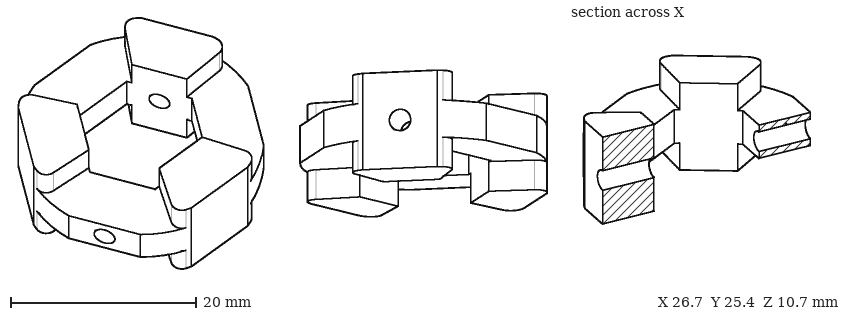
import cadquery as cq
import math

outer_radius = 13.34
outer_flats = 25.4
bore_flats = 12.8
total_height = 10.67
web_height = 4.1
block_inner_half_width = 3.12
block_side_angle = 26.7
block_corner_radius = 1.2
hole_diameter = 2.35
block_angles = (90, 210, 330)


def hexagon(across_flats, height):
    """Hexagonal prism centred on the origin, with corners on the X axis."""
    across_corners = across_flats / math.cos(math.radians(30))
    return cq.Workplane("XY").polygon(6, across_corners).extrude(height / 2, both=True)


def ring_outline(height):
    """Disc whose rim is trimmed by six flats."""
    disc = cq.Workplane("XY").circle(outer_radius).extrude(height / 2, both=True)
    return disc.intersect(hexagon(outer_flats, height))


def block():
    """Full-height wedge block on the +Y side, with rounded outer corners."""
    inner_y = bore_flats / 2
    outer_y = outer_radius
    outer_half_width = block_inner_half_width + (outer_y - inner_y) * math.tan(
        math.radians(block_side_angle)
    )
    wedge = (
        cq.Workplane("XY")
        .polyline([
            (-block_inner_half_width, inner_y),
            (block_inner_half_width, inner_y),
            (outer_half_width, outer_y),
            (-outer_half_width, outer_y),
        ])
        .close()
        .extrude(total_height / 2, both=True)
    )
    trimmed = wedge.intersect(ring_outline(total_height))
    return trimmed.edges("|Z").edges("<X or >X").fillet(block_corner_radius)


def gaps(ring):
    """Parts of a full-height ring above and below the web, between the blocks."""
    slab_size = 3 * outer_radius
    cutter = ring.cut(cq.Workplane("XY").box(slab_size, slab_size, web_height))
    for angle in block_angles:
        cutter = cutter.cut(block().rotate((0, 0, 0), (0, 0, 1), angle - 90), clean=False)
    return cutter


full_ring = ring_outline(total_height).cut(hexagon(bore_flats, total_height))

result = full_ring.cut(gaps(full_ring), clean=False)

hole = cq.Workplane("XZ").circle(hole_diameter / 2).extrude(outer_radius, both=True)
result = result.cut(hole, clean=False)